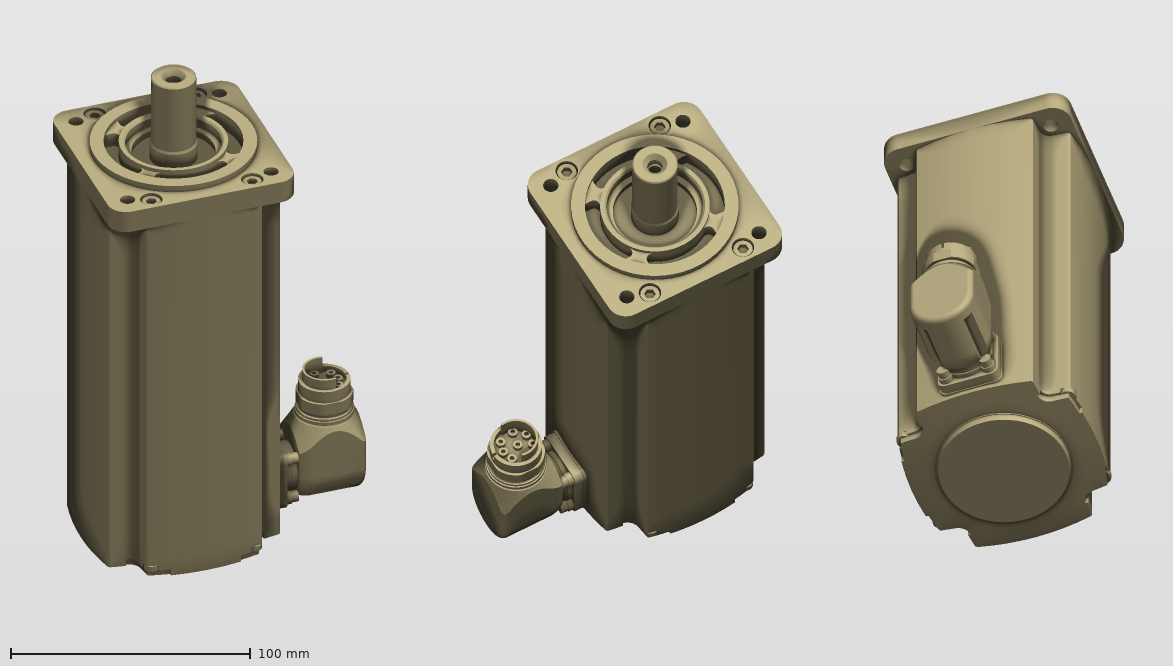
import cadquery as cq
import math


FLANGE_SIDE = 82.0
FLANGE_THICKNESS = 10.0
FLANGE_CORNER_RADIUS = 8.0
BOLT_CIRCLE = 90.0
MOUNT_HOLE_DIAMETER = 6.4

PILOT_DIAMETER = 70.0
PILOT_HEIGHT = 3.0
RELIEF_OUTER_RADIUS = 29.2
RELIEF_INNER_RADIUS = 22.9
RELIEF_HALF_WIDTH = 16.0
RELIEF_CORNER_RADIUS = 2.5
RELIEF_DEPTH = 8.0
WEB_DROP = 1.7
BORE_RADIUS = 20.2
BORE_CHAMFER = 0.8
BORE_DEPTH = 5.0
SEAL_RADIUS = 17.6
SEAL_DEPTH = 8.0

FLANGE_SCREW_X = 34.8
FLANGE_SCREW_Y = 22.4
SCREW_SEAT_DIAMETER = 9.4
SCREW_SEAT_DEPTH = 5.0
SCREW_HEAD_DIAMETER = 8.0
SCREW_HEAD_HEIGHT = 4.0
SCREW_SOCKET_SIZE = 4.92
SCREW_SOCKET_DEPTH = 2.5

SHAFT_DIAMETER = 19.0
SHAFT_LENGTH = 35.0
SHAFT_CHAMFER = 0.5
SHOULDER_DIAMETER = 20.0
SHOULDER_TOP = 3.4
SHOULDER_TAPER_HEIGHT = 1.2
CENTRE_CONE_DIAMETER = 10.4
CENTRE_BORE_DIAMETER = 6.4
CENTRE_CONE_DEPTH = 2.0
CENTRE_BORE_DEPTH = 5.0
CENTRE_DRILL_DIAMETER = 5.1
CENTRE_DRILL_DEPTH = 16.0

HALF_SIDE = FLANGE_SIDE / 2
BULGE_HALF_WIDTH = 25.2
BULGE_EDGE = 38.2
NOTCH_LIP_NEAR = 25.9
NOTCH_LIP_FAR = 37.4
NOTCH_NEAR = 26.6
NOTCH_FAR = 30.3
NOTCH_ROOT = 27.8
HOUSING_EDGE_BOTTOM = -185.9

REAR_FACE = -190.2
COVER_RADIUS = 28.0
HOUSING_BOTTOM = -186.8
COVER_RIM_RADIUS = 28.4
COVER_RIM_BOTTOM = -187.4
COVER_END_RADIUS = 27.4
REAR_CONE_RADIUS = 29.0
LUG_X = (20.0, 41.0)
LUG_Y = (15.5, 30.6)
LUG_TOP = -182.7
LUG_INSET = 1.2
REAR_SCREW_X = 36.1
REAR_SCREW_Y = 22.8
REAR_SCREW_DIAMETER = 6.4
REAR_SCREW_HEIGHT = 2.5
REAR_RECESS_DIAMETER = 7.8

INLET_Z = -170.0
BASE_SIDE = 26.6
BASE_CORNER_RADIUS = 3.6
BASE_END = 45.8
BASE_ROOT = 36.0
GASKET_SIDE = 27.4
GASKET_END = 41.6
BASE_SCREW_OFFSET = 9.4
BASE_SCREW_DIAMETER = 6.0
BASE_SCREW_HEIGHT = 2.4
POST_DIAMETER = 5.0
NECK_DIAMETER = 21.55
NECK_RING_DIAMETER = 22.9
NECK_RING_END = 47.9
JOINT_OVERLAP = 1.0
ELBOW_NEAR = 51.5
ELBOW_FAR = 81.0
ELBOW_HALF_WIDTH = 14.1
ELBOW_NEAR_HALF_WIDTH = 12.2
ELBOW_TAPER_START = 57.8
ELBOW_CORNER_RADIUS = 2.5
ELBOW_TOP = -146.3
ELBOW_TOP_RADIUS = 13.0
ELBOW_CONE_SLOPE = 0.6
SIDE_FLAT_OFFSET = 7.8
SIDE_FLAT_Z = (-181.8, -177.5)
SIDE_FLAT_END = 75.1
PLUG_Y = 66.9
PLUG_RINGS = (
    (23.5, -145.7),
    (25.2, -144.2),
    (24.0, -143.1),
    (21.55, -141.1),
)
NUT_DIAMETER = 24.2
NUT_FLAT_WIDTH = 7.85
NUT_TOP = -135.6
COLLAR_DIAMETER = 21.95
COLLAR_TOP = -130.1
COLLAR_BORE_DEPTH = 3.0
COLLAR_SLOT_WIDTH = 1.2
INSERT_DIAMETER = 18.6
INSERT_TOP = -125.3
INSERT_CUT_Y = 68.9
INSERT_WALL = 1.0
CONTACT_HOLE_DIAMETER = 1.99
CONTACT_DIAMETER = 4.0
CONTACT_HEIGHT = 2.0
CONTACT_POSITIONS = (
    (-6.5, 64.7),
    (6.5, 64.7),
    (-2.7, 60.3),
    (2.7, 60.3),
    (0.0, 66.0),
    (-4.7, 71.5),
    (4.7, 71.5),
    (0.0, 73.0),
)


def disc(radius, bottom, top, x=0.0, y=0.0):
    """Upright cylinder between two heights."""
    return cq.Workplane("XY", origin=(x, y, bottom)).circle(radius).extrude(top - bottom)


def box(x_range, y_range, z_range):
    """Axis-aligned block from its three ranges."""
    size = [high - low for low, high in (x_range, y_range, z_range)]
    corner = (x_range[0], y_range[0], z_range[0])
    return cq.Workplane("XY").box(*size, centered=False).translate(corner)


def y_cylinder(diameter, start, end, x=0.0, z=INLET_Z):
    """Cylinder along Y between two Y positions."""
    plane = cq.Plane(origin=(x, start, z), xDir=(1, 0, 0), normal=(0, 1, 0))
    return cq.Workplane(plane).circle(diameter / 2).extrude(end - start)


def four_corners(x, y):
    """The four points mirrored about both axes."""
    return [(sx * x, sy * y) for sx in (-1, 1) for sy in (-1, 1)]


def housing_outline():
    """Square outline with bulged sides and a notch along each corner."""
    outline = cq.Workplane("XY", origin=(0, 0, HOUSING_BOTTOM)).moveTo(-BULGE_HALF_WIDTH, -BULGE_EDGE)

    for quarter in range(4):
        angle = quarter * math.pi / 2

        def turned(x, y, a=angle):
            """Point turned about the shaft axis to the current side."""
            return (x * math.cos(a) - y * math.sin(a), x * math.sin(a) + y * math.cos(a))

        outline = outline.threePointArc(turned(0, -HALF_SIDE), turned(BULGE_HALF_WIDTH, -BULGE_EDGE))
        outline = outline.lineTo(*turned(NOTCH_LIP_NEAR, -NOTCH_LIP_FAR))
        outline = outline.lineTo(*turned(NOTCH_NEAR, -NOTCH_FAR))
        outline = outline.threePointArc(
            turned(NOTCH_ROOT, -NOTCH_ROOT), turned(NOTCH_FAR, -NOTCH_NEAR)
        )
        outline = outline.lineTo(*turned(NOTCH_LIP_FAR, -NOTCH_LIP_NEAR))
        if quarter < 3:
            outline = outline.lineTo(*turned(BULGE_EDGE, -BULGE_HALF_WIDTH))
    return outline.close()


def housing():
    """Housing extrusion on a slightly conical rear end with four inset screw lugs."""
    body = housing_outline().extrude(-FLANGE_THICKNESS - HOUSING_BOTTOM)
    lug_stock = housing_outline().offset2D(-LUG_INSET).extrude(LUG_TOP - HOUSING_BOTTOM)
    slope = (HOUSING_EDGE_BOTTOM - HOUSING_BOTTOM) / (HALF_SIDE - REAR_CONE_RADIUS)
    reach = FLANGE_SIDE
    envelope = (
        cq.Workplane("XZ")
        .moveTo(0, 0)
        .lineTo(0, HOUSING_BOTTOM)
        .lineTo(REAR_CONE_RADIUS, HOUSING_BOTTOM)
        .lineTo(reach, HOUSING_BOTTOM + slope * (reach - REAR_CONE_RADIUS))
        .lineTo(reach, 0)
        .close()
        .revolve(360, (0, 0, 0), (0, 1, 0))
    )
    for sx, sy in four_corners(1, 1):
        x_range = sorted(sx * value for value in LUG_X)
        y_range = sorted(sy * value for value in LUG_Y)
        lug = box(x_range, y_range, (HOUSING_BOTTOM, LUG_TOP))
        recess = disc(
            REAR_RECESS_DIAMETER / 2,
            LUG_TOP,
            LUG_TOP + REAR_SCREW_HEIGHT,
            sx * REAR_SCREW_X,
            sy * REAR_SCREW_Y,
        )
        body = body.cut(lug).cut(recess).union(lug.intersect(lug_stock))
    return body.intersect(envelope)


def rear_end():
    """Round tapered cover with a rim, and the heads of the screws on the rear lugs."""
    cover = cq.Workplane("XY").add(
        cq.Solid.makeCone(
            COVER_END_RADIUS,
            COVER_RADIUS,
            COVER_RIM_BOTTOM - REAR_FACE,
            pnt=cq.Vector(0, 0, REAR_FACE),
        )
    )
    cover = cover.union(disc(COVER_RIM_RADIUS, COVER_RIM_BOTTOM, HOUSING_BOTTOM))
    for x, y in four_corners(REAR_SCREW_X, REAR_SCREW_Y):
        cover = cover.union(
            disc(REAR_SCREW_DIAMETER / 2, LUG_TOP, LUG_TOP + REAR_SCREW_HEIGHT, x, y)
        )
    return cover


def flange():
    """Square flange with rounded corners and the raised pilot."""
    plate = (
        cq.Workplane("XY", origin=(0, 0, -FLANGE_THICKNESS))
        .rect(FLANGE_SIDE, FLANGE_SIDE)
        .extrude(FLANGE_THICKNESS)
        .edges("|Z")
        .fillet(FLANGE_CORNER_RADIUS)
    )
    return plate.union(disc(PILOT_DIAMETER / 2, 0, PILOT_HEIGHT))


def cut_pilot_recesses(part):
    """Stepped bore, lowered webs and four deep relief pockets."""
    web_top = PILOT_HEIGHT - WEB_DROP
    part = part.cut(
        disc(RELIEF_OUTER_RADIUS, web_top, PILOT_HEIGHT).cut(
            disc(RELIEF_INNER_RADIUS, web_top, PILOT_HEIGHT)
        )
    )
    countersink = cq.Solid.makeCone(
        BORE_RADIUS,
        BORE_RADIUS + BORE_CHAMFER,
        BORE_CHAMFER,
        pnt=cq.Vector(0, 0, PILOT_HEIGHT - BORE_CHAMFER),
    )
    part = part.cut(cq.Workplane("XY").add(countersink))
    part = part.cut(disc(BORE_RADIUS, PILOT_HEIGHT - BORE_DEPTH, PILOT_HEIGHT))
    part = part.cut(disc(SEAL_RADIUS, PILOT_HEIGHT - SEAL_DEPTH, PILOT_HEIGHT))

    bottom = PILOT_HEIGHT - RELIEF_DEPTH
    annulus = disc(RELIEF_OUTER_RADIUS, bottom, PILOT_HEIGHT).cut(
        disc(RELIEF_INNER_RADIUS, bottom, PILOT_HEIGHT)
    )
    window = box(
        (-RELIEF_HALF_WIDTH, RELIEF_HALF_WIDTH),
        (0, RELIEF_OUTER_RADIUS),
        (bottom, PILOT_HEIGHT),
    )
    inner_corner_y = math.sqrt(RELIEF_INNER_RADIUS**2 - RELIEF_HALF_WIDTH**2)
    pocket = annulus.intersect(window)
    for side in (-1, 1):
        corner = (side * RELIEF_HALF_WIDTH, inner_corner_y, bottom)
        pocket = pocket.edges(cq.NearestToPointSelector(corner)).edges("|Z").fillet(RELIEF_CORNER_RADIUS)
    for quarter in range(4):
        part = part.cut(pocket.rotate((0, 0, 0), (0, 0, 1), quarter * 90))
    return part


def cut_mounting_holes(part):
    """Four through holes on the bolt circle."""
    offset = BOLT_CIRCLE / 2 / math.sqrt(2)
    for x, y in four_corners(offset, offset):
        part = part.cut(disc(MOUNT_HOLE_DIAMETER / 2, -FLANGE_THICKNESS, 0, x, y))
    return part


def add_flange_screws(part):
    """Sunk socket-head screws that hold the flange to the housing."""
    for x, y in four_corners(FLANGE_SCREW_X, FLANGE_SCREW_Y):
        head_top = SCREW_HEAD_HEIGHT - SCREW_SEAT_DEPTH
        part = part.cut(disc(SCREW_SEAT_DIAMETER / 2, -SCREW_SEAT_DEPTH, 0, x, y))
        part = part.union(disc(SCREW_HEAD_DIAMETER / 2, -SCREW_SEAT_DEPTH, head_top, x, y))
        socket = (
            cq.Workplane("XY", origin=(x, y, head_top))
            .polygon(6, SCREW_SOCKET_SIZE)
            .extrude(-SCREW_SOCKET_DEPTH)
        )
        part = part.cut(socket)
    return part


def shaft():
    """Output shaft with a shoulder at its root and a centre hole in its end."""
    root = PILOT_HEIGHT - SEAL_DEPTH
    body = disc(SHAFT_DIAMETER / 2, root, SHAFT_LENGTH).faces(">Z").chamfer(SHAFT_CHAMFER)
    taper_bottom = SHOULDER_TOP - SHOULDER_TAPER_HEIGHT
    taper = cq.Solid.makeCone(
        SHOULDER_DIAMETER / 2,
        SHAFT_DIAMETER / 2,
        SHOULDER_TAPER_HEIGHT,
        pnt=cq.Vector(0, 0, taper_bottom),
    )
    body = body.union(disc(SHOULDER_DIAMETER / 2, root, taper_bottom)).union(cq.Workplane("XY").add(taper))
    centre = (
        cq.Workplane("XZ")
        .moveTo(0, SHAFT_LENGTH)
        .lineTo(CENTRE_CONE_DIAMETER / 2, SHAFT_LENGTH)
        .lineTo(CENTRE_BORE_DIAMETER / 2, SHAFT_LENGTH - CENTRE_CONE_DEPTH)
        .lineTo(CENTRE_BORE_DIAMETER / 2, SHAFT_LENGTH - CENTRE_BORE_DEPTH)
        .lineTo(CENTRE_DRILL_DIAMETER / 2, SHAFT_LENGTH - CENTRE_BORE_DEPTH)
        .lineTo(CENTRE_DRILL_DIAMETER / 2, SHAFT_LENGTH - CENTRE_DRILL_DEPTH)
        .lineTo(0, SHAFT_LENGTH - CENTRE_DRILL_DEPTH - CENTRE_DRILL_DIAMETER / 2)
        .close()
        .revolve(360, (0, 0, 0), (0, 1, 0))
    )
    return body.cut(centre)


def connector_base():
    """Gasket and square base on the housing, screw posts with heads, and the neck of the elbow."""
    base = None
    for side, end in ((GASKET_SIDE, GASKET_END), (BASE_SIDE, BASE_END)):
        plane = cq.Plane(origin=(0, BASE_ROOT, INLET_Z), xDir=(1, 0, 0), normal=(0, 1, 0))
        plate = cq.Workplane(plane).rect(side, side).extrude(end - BASE_ROOT)
        plate = plate.edges("|Y").fillet(BASE_CORNER_RADIUS)
        base = plate if base is None else base.union(plate)
    base = base.union(y_cylinder(NECK_DIAMETER, BASE_ROOT, ELBOW_NEAR + JOINT_OVERLAP))
    base = base.union(y_cylinder(NECK_RING_DIAMETER, BASE_ROOT, NECK_RING_END))
    for x, dz in four_corners(BASE_SCREW_OFFSET, BASE_SCREW_OFFSET):
        z = INLET_Z + dz
        base = base.union(y_cylinder(POST_DIAMETER, BASE_ROOT, ELBOW_NEAR, x, z))
        base = base.union(y_cylinder(BASE_SCREW_DIAMETER, BASE_ROOT, BASE_END + BASE_SCREW_HEIGHT, x, z))
    return base


def elbow_half_plan():
    """Half outline of the elbow in the horizontal plane of the inlet axis."""
    taper_mid_x = ELBOW_HALF_WIDTH - (ELBOW_HALF_WIDTH - ELBOW_NEAR_HALF_WIDTH) / 4
    return (
        cq.Workplane("XY", origin=(0, 0, INLET_Z))
        .moveTo(0, ELBOW_NEAR)
        .lineTo(ELBOW_NEAR_HALF_WIDTH, ELBOW_NEAR)
        .threePointArc(
            (taper_mid_x, (ELBOW_NEAR + ELBOW_TAPER_START) / 2),
            (ELBOW_HALF_WIDTH, ELBOW_TAPER_START),
        )
        .lineTo(ELBOW_HALF_WIDTH, ELBOW_FAR - ELBOW_CORNER_RADIUS)
        .radiusArc((ELBOW_HALF_WIDTH - ELBOW_CORNER_RADIUS, ELBOW_FAR), -ELBOW_CORNER_RADIUS)
        .lineTo(0, ELBOW_FAR)
        .close()
    )


def elbow():
    """Elbow: straight upper walls, underside turned about the inlet axis, conical shoulder, side flats."""
    bottom = INLET_Z - ELBOW_HALF_WIDTH
    half_walls = elbow_half_plan().extrude(ELBOW_TOP - INLET_Z)
    underside = elbow_half_plan().revolve(360, (0, 0, 0), (0, 1, 0))
    body = half_walls.union(half_walls.mirror("YZ")).union(underside)
    cone_height = ELBOW_TOP - bottom
    cone = cq.Workplane("XY").add(
        cq.Solid.makeCone(
            ELBOW_TOP_RADIUS + ELBOW_CONE_SLOPE * cone_height,
            ELBOW_TOP_RADIUS,
            cone_height,
            pnt=cq.Vector(0, PLUG_Y, bottom),
        )
    )
    body = body.intersect(cone)
    for side in (-1, 1):
        x_range = sorted((side * SIDE_FLAT_OFFSET, side * ELBOW_HALF_WIDTH))
        body = body.cut(box(x_range, (ELBOW_NEAR, SIDE_FLAT_END), SIDE_FLAT_Z))
    return body


def plug():
    """Plug end: stacked rings, nut with four flats, slotted open collar and contact insert."""
    body = None
    bottom = ELBOW_TOP - JOINT_OVERLAP
    for diameter, top in PLUG_RINGS:
        ring = disc(diameter / 2, bottom, top, 0, PLUG_Y)
        body = ring if body is None else body.union(ring)
        bottom = top

    flat_size = math.sqrt(NUT_DIAMETER**2 - NUT_FLAT_WIDTH**2)
    half_flat = flat_size / 2
    nut = disc(NUT_DIAMETER / 2, bottom, NUT_TOP, 0, PLUG_Y).intersect(
        box((-half_flat, half_flat), (PLUG_Y - half_flat, PLUG_Y + half_flat), (bottom, NUT_TOP))
    )
    body = body.union(nut)
    insert_radius = INSERT_DIAMETER / 2
    floor = COLLAR_TOP - COLLAR_BORE_DEPTH
    collar = disc(COLLAR_DIAMETER / 2, NUT_TOP, COLLAR_TOP, 0, PLUG_Y)
    collar = collar.cut(disc(insert_radius, floor, COLLAR_TOP, 0, PLUG_Y))
    half_slot = COLLAR_SLOT_WIDTH / 2
    collar = collar.cut(
        box((-half_slot, half_slot), (PLUG_Y, PLUG_Y + COLLAR_DIAMETER / 2), (floor, COLLAR_TOP))
    )

    insert = disc(insert_radius, NUT_TOP, INSERT_TOP, 0, PLUG_Y).intersect(
        box((-insert_radius, insert_radius), (PLUG_Y - insert_radius, INSERT_CUT_Y), (NUT_TOP, INSERT_TOP))
    )
    insert = insert.cut(disc(insert_radius - INSERT_WALL, floor, INSERT_TOP, 0, PLUG_Y))
    body = body.union(collar).union(insert)

    for x, y in CONTACT_POSITIONS:
        body = body.union(disc(CONTACT_DIAMETER / 2, floor, floor + CONTACT_HEIGHT, x, y))
    for x, y in CONTACT_POSITIONS:
        body = body.cut(disc(CONTACT_HOLE_DIAMETER / 2, floor, floor + CONTACT_HEIGHT, x, y))
    return body


front_end = add_flange_screws(cut_mounting_holes(cut_pilot_recesses(flange().union(housing()))))
motor = front_end.union(rear_end()).union(shaft())
result = motor.union(connector_base()).union(elbow()).union(plug())